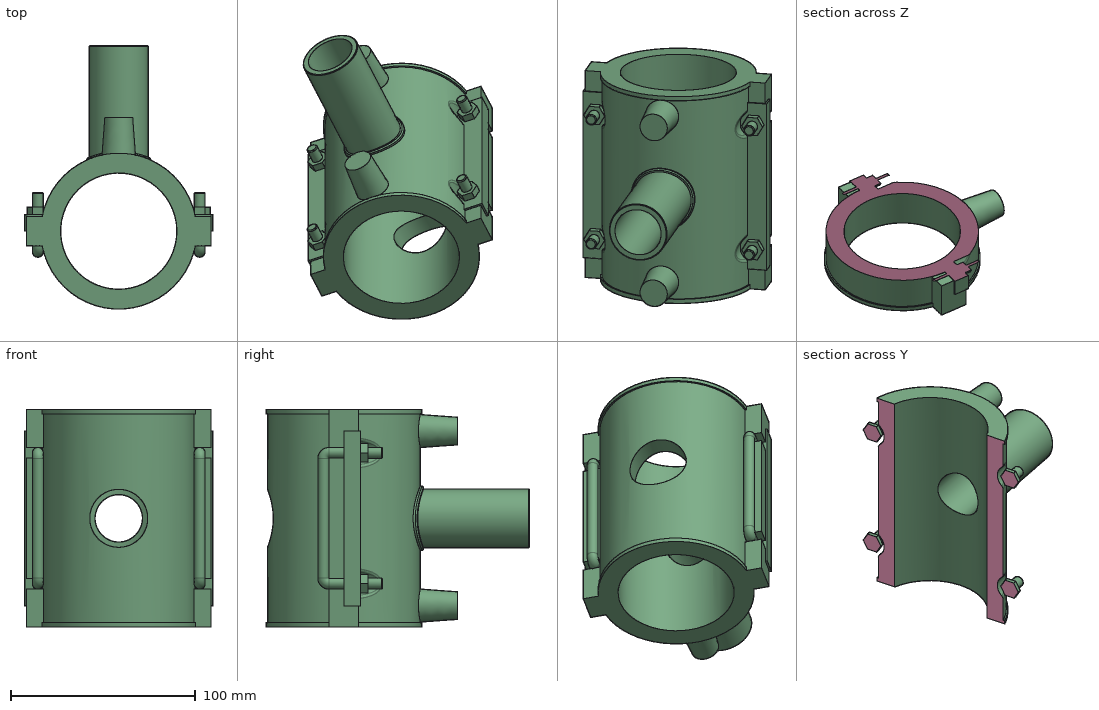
import cadquery as cq
OVERALL_DEPTH = 142.8

LENGTH = 118.0
BORE_RADIUS = 31.4
BODY_RADIUS = 41.4
COLLAR_RADIUS = 42.3
COLLAR_HEIGHT = 2.4

FLANGE_HALF_WIDTH = 50.0
FLANGE_THICKNESS = 8.0
PLATE_OVERHANG = 1.0
PLATE_LENGTH = 94.8
PLATE_HALF_WIDTH = FLANGE_HALF_WIDTH + PLATE_OVERHANG
PLATE_TOP = FLANGE_THICKNESS + PLATE_OVERHANG
ROOT_RADIUS = (BORE_RADIUS + BODY_RADIUS) / 2

ROD_RADIUS = 3.0
ROD_GAP = 0.1
BOLT_X = 43.8
BOLT_Z = 35.4
BOLT_TIP = 21.0
BOLT_TIP_CHAMFER = 0.5
BEND_RADIUS = 3.1
BAR_Y = -FLANGE_THICKNESS - ROD_RADIUS - ROD_GAP
SLOT_WIDTH = 5.7
NUT_ACROSS_FLATS = 10.0
NUT_HEIGHT = 4.0
POCKET_RADIUS = 7.5
POCKET_ROUNDING = 2.0

PIPE_RADIUS = 16.0
PIPE_BORE_RADIUS = 25.5 / 2
PIPE_END = OVERALL_DEPTH - COLLAR_RADIUS
PIPE_CHAMFER = 0.4
BEAD_RADIUS = 17.5
BEAD_HEIGHT = 1.7
BEAD_CHAMFER = 0.7
FRONT_HOLE_RADIUS = 15.7

PEG_Z = 47.3
PEG_END = 61.5
PEG_ROOT_RADIUS = 9.4
PEG_END_RADIUS = 7.5

SIDES = (-1, 1)


def y_cylinder(radius, y_start, y_end, x=0, z=0):
    """Cylinder along Y centred on (x, z)."""
    return cq.Workplane(cq.Solid.makeCylinder(
        radius, y_end - y_start, cq.Vector(x, y_start, z), cq.Vector(0, 1, 0)))


def z_cylinder(radius, height, z_centre=0):
    """Cylinder on the sleeve axis."""
    return cq.Workplane("XY", origin=(0, 0, z_centre)).circle(radius).extrude(height / 2, both=True)


def side_block(side, x_outer, y_low, y_high, height, z=0):
    """Box reaching from inside the wall out to x_outer on one side."""
    width = x_outer - ROOT_RADIUS
    centre = (side * (ROOT_RADIUS + width / 2), (y_low + y_high) / 2, z)
    return cq.Workplane("XY").box(width, y_high - y_low, height).translate(centre)


def make_sleeve():
    """Solid body with end collars and round-mouthed nut pockets, before boring."""
    sleeve = z_cylinder(BODY_RADIUS, LENGTH)
    for side in SIDES:
        for end in SIDES:
            sleeve = sleeve.cut(y_cylinder(
                POCKET_RADIUS, FLANGE_THICKNESS, BODY_RADIUS, side * BOLT_X, end * BOLT_Z))
    sleeve = sleeve.edges("not (%CIRCLE or %LINE)").fillet(POCKET_ROUNDING)
    for end in SIDES:
        collar_z = end * (LENGTH - COLLAR_HEIGHT) / 2
        sleeve = sleeve.union(z_cylinder(COLLAR_RADIUS, COLLAR_HEIGHT, collar_z))
    return sleeve


def make_flange(side):
    """Flange with two slots in its lower half, and the clamp plate."""
    flange = side_block(side, FLANGE_HALF_WIDTH, -FLANGE_THICKNESS, FLANGE_THICKNESS, LENGTH)
    for end in SIDES:
        slot = side_block(side, PLATE_HALF_WIDTH, -FLANGE_THICKNESS, 0, SLOT_WIDTH, end * BOLT_Z)
        flange = flange.cut(slot)
    return flange.union(side_block(side, PLATE_HALF_WIDTH, 0, PLATE_TOP, PLATE_LENGTH))


def make_u_bolt(side):
    """U-bolt in the plane X = side * BOLT_X with a nut on each leg."""
    x = side * BOLT_X
    bend_y = BAR_Y + BEND_RADIUS
    bend_z = BOLT_Z - BEND_RADIUS
    bolt = cq.Workplane("XY", origin=(x, BAR_Y, 0)).circle(ROD_RADIUS).extrude(bend_z, both=True)
    for end in SIDES:
        leg = y_cylinder(ROD_RADIUS, bend_y, BOLT_TIP, x, end * BOLT_Z)
        bolt = bolt.union(leg.faces(">Y").chamfer(BOLT_TIP_CHAMFER))
        bend = (
            cq.Workplane("XY", origin=(x, BAR_Y, end * bend_z))
            .circle(ROD_RADIUS)
            .revolve(90, (0, BEND_RADIUS, 0), (-end, BEND_RADIUS, 0))
        )
        bolt = bolt.union(bend)
        nut = (
            cq.Workplane("XZ", origin=(x, PLATE_TOP, end * BOLT_Z))
            .polygon(6, NUT_ACROSS_FLATS, circumscribed=True)
            .extrude(-NUT_HEIGHT)
            .rotate((x, 0, end * BOLT_Z), (x, 1, end * BOLT_Z), 30)
        )
        bolt = bolt.union(nut)
    return bolt


def make_bead():
    """Ring around the pipe root that follows the curved body, its outer rim chamfered."""
    bead = y_cylinder(BEAD_RADIUS, ROOT_RADIUS, PIPE_END)
    bead = bead.intersect(z_cylinder(BODY_RADIUS + BEAD_HEIGHT, LENGTH))
    return bead.faces(">Y").chamfer(BEAD_CHAMFER)


def make_pipe():
    """Branch pipe before boring, its end rim chamfered."""
    pipe = y_cylinder(PIPE_RADIUS, ROOT_RADIUS, PIPE_END)
    return pipe.faces(">Y").edges().chamfer(PIPE_CHAMFER)


def make_peg(end):
    """Peg tapering evenly from a root inside the wall to its tip."""
    profile = [
        (0, ROOT_RADIUS),
        (PEG_ROOT_RADIUS, ROOT_RADIUS),
        (PEG_END_RADIUS, PEG_END),
        (0, PEG_END),
    ]
    peg = cq.Workplane("XY").polyline(profile).close().revolve(360, (0, 0, 0), (0, 1, 0))
    return peg.translate((0, 0, end * PEG_Z))


result = make_sleeve()
for side in SIDES:
    result = result.union(make_flange(side)).union(make_u_bolt(side))
result = result.union(make_bead()).union(make_pipe())
for end in SIDES:
    result = result.union(make_peg(end))

result = result.cut(z_cylinder(BORE_RADIUS, LENGTH))
result = result.cut(y_cylinder(PIPE_BORE_RADIUS, 0, PIPE_END))
result = result.cut(y_cylinder(FRONT_HOLE_RADIUS, -COLLAR_RADIUS, 0))